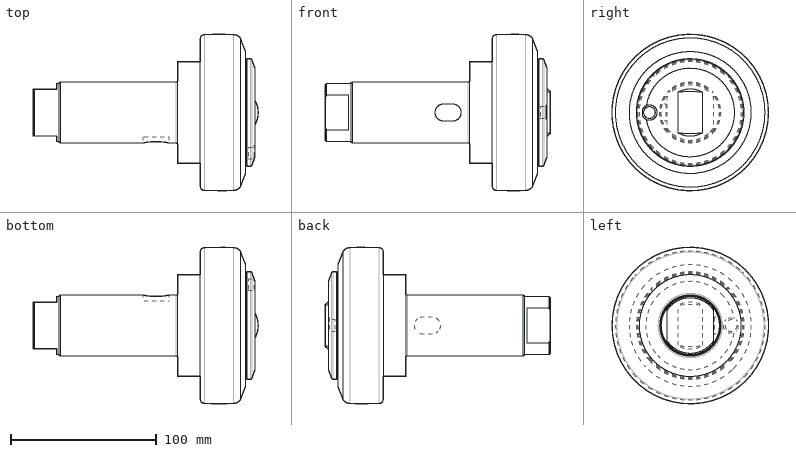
import cadquery as cq
import math

total_length = 154.5
origin_x = -total_length / 2

end_diameter = 40.0
end_chamfer = 1.0
neck_length = 17.8
stem_diameter = 42.0
stem_chamfer = 1.0
root_fillet = 1.1

flats_length = 16.0
flats_width = 32.1

slot_start = 75.4
slot_length = 17.9
slot_width = 11.7
slot_depth = 4.3

collar_start = 99.2
collar_diameter = 70.0

roller_start = 114.6
roller_end = 145.8
roller_radius = 53.83
inner_corner_radius = 3.1
tread_end = 137.5
crown_height = 0.23
cone_start = 142.1
cone_start_radius = 51.3
cone_end_radius = 41.9

cap_neck_diameter = 71.7
cap_start = 146.3
cap_edge_chamfer = 0.5
cap_diameter = 74.0
cap_rim_end = 149.0
bevel_start = 150.1
bevel_start_radius = 36.1
cap_face = 152.3
cap_face_radius = 30.5

rib_half_width = 8.3
rib_end_radius = 16.2
rib_top_radius = 14.5

hole_offset = 28.0
hole_diameter = 8.0
hole_depth = 4.6
recess_diameter = 10.5
recess_depth = 1.0


def turn(profile):
    """Revolve a closed (x, radius) profile about the X axis."""
    return profile.close().revolve(360, (0, 0, 0), (1, 0, 0))


def make_stud():
    end_radius = end_diameter / 2
    stem_radius = stem_diameter / 2
    fillet_middle = root_fillet * (1 - math.sqrt(0.5))
    profile = (
        cq.Workplane("XY")
        .lineTo(0, end_radius - end_chamfer)
        .lineTo(end_chamfer, end_radius)
        .lineTo(neck_length, end_radius)
        .lineTo(neck_length, stem_radius - stem_chamfer / 2)
        .lineTo(neck_length + stem_chamfer, stem_radius)
        .lineTo(collar_start - root_fillet, stem_radius)
        .threePointArc(
            (collar_start - fillet_middle, stem_radius + fillet_middle),
            (collar_start, stem_radius + root_fillet),
        )
        .lineTo(collar_start, collar_diameter / 2)
        .lineTo(roller_start, collar_diameter / 2)
        .lineTo(roller_start, 0)
    )
    return turn(profile)


def make_roller():
    tread_start = roller_start + inner_corner_radius
    tread_edge = roller_radius - crown_height
    corner_middle = inner_corner_radius * (1 - math.sqrt(0.5))
    profile = (
        cq.Workplane("XY")
        .moveTo(roller_start, 0)
        .lineTo(roller_start, tread_edge - inner_corner_radius)
        .threePointArc(
            (roller_start + corner_middle, tread_edge - corner_middle),
            (tread_start, tread_edge),
        )
        .threePointArc(((tread_start + tread_end) / 2, roller_radius), (tread_end, tread_edge))
        .tangentArcPoint((cone_start, cone_start_radius), relative=False)
        .lineTo(roller_end, cone_end_radius)
        .lineTo(roller_end, 0)
    )
    return turn(profile)


def make_cap():
    profile = (
        cq.Workplane("XY")
        .moveTo(roller_end, 0)
        .lineTo(roller_end, cap_neck_diameter / 2)
        .lineTo(cap_start, cap_neck_diameter / 2)
        .lineTo(cap_start, cap_diameter / 2 - cap_edge_chamfer)
        .lineTo(cap_start + cap_edge_chamfer, cap_diameter / 2)
        .lineTo(cap_rim_end, cap_diameter / 2)
        .tangentArcPoint((bevel_start, bevel_start_radius), relative=False)
        .lineTo(cap_face, cap_face_radius)
        .lineTo(cap_face, 0)
    )
    return turn(profile)


def make_rib():
    """Arched rib along Z whose two ends are trimmed by a cone about X."""
    arch = (
        cq.Workplane("XY")
        .moveTo(cap_face, -rib_half_width)
        .threePointArc((total_length, 0), (cap_face, rib_half_width))
        .close()
        .extrude(rib_end_radius, both=True)
    )
    ends = turn(
        cq.Workplane("XY")
        .moveTo(cap_face, 0)
        .lineTo(cap_face, rib_end_radius)
        .lineTo(total_length, rib_top_radius)
        .lineTo(total_length, 0)
    )
    return arch.intersect(ends)


def make_flat_cutter(side):
    return cq.Workplane("XY").box(flats_length, end_diameter, end_diameter).translate(
        (flats_length / 2, side * (flats_width + end_diameter) / 2, 0)
    )


def make_slot_cutter():
    floor_y = -(stem_diameter / 2 - slot_depth)
    return (
        cq.Workplane("XZ", origin=(slot_start + slot_length / 2, floor_y, 0))
        .slot2D(slot_length, slot_width)
        .extrude(stem_diameter / 2)
    )


def make_hole_cutter(diameter, depth):
    return (
        cq.Workplane("YZ", origin=(cap_face - depth, -hole_offset, 0))
        .circle(diameter / 2)
        .extrude(depth)
    )


body = make_stud().union(make_roller()).union(make_cap()).union(make_rib())
for side in (-1, 1):
    body = body.cut(make_flat_cutter(side))
body = body.cut(make_slot_cutter())
body = body.cut(make_hole_cutter(recess_diameter, recess_depth))
body = body.cut(make_hole_cutter(hole_diameter, hole_depth))

result = body.translate((origin_x, 0, 0))